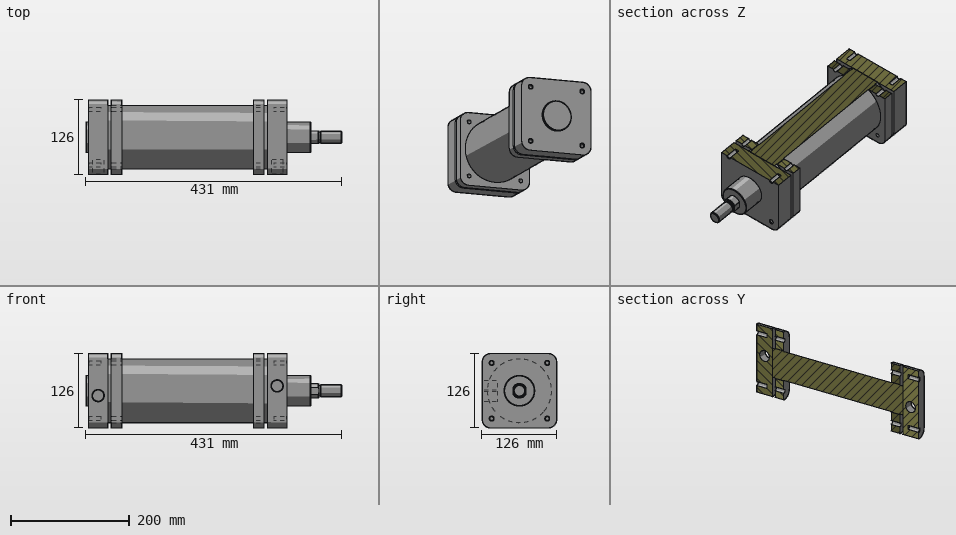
import cadquery as cq

TOTAL_LENGTH = 431.0

SQUARE_SIDE = 126.0
CORNER_RADIUS = 15.0
CAP_THICKNESS = 33.0
FLANGE_THICKNESS = 18.0
CAP_TO_FLANGE_GAP = 5.0

BOSS_DIAMETER = 51.7
REAR_BOSS_LENGTH = 4.0
FRONT_BOSS_LENGTH = 40.0
BOSS_CHAMFER = 1.0

BOLT_SPACING = 93.5
BOLT_HOLE_DIAMETER = 6.5
BOLT_HOLE_DEPTH = 21.5
BOLT_HOLE_CHAMFER = 1.0

PORT_DIAMETER = 19.0
PORT_DEPTH = 26.0
PORT_CHAMFER = 1.0
PORT_OFFSET_Z = 8.0

BARREL_DIAMETER = 107.8
BARREL_LENGTH = 268.0

SHANK_DIAMETER = 24.5
SHANK_LENGTH = 13.5
SHANK_CHAMFER = 1.0
ACROSS_FLATS = 21.5
NECK_DIAMETER = 18.0
NECK_LENGTH = 2.5
THREAD_DIAMETER = 20.3
THREAD_CHAMFER = 1.5

REAR_CAP_OUTER_X = REAR_BOSS_LENGTH
REAR_CAP_INNER_X = REAR_CAP_OUTER_X + CAP_THICKNESS
FRONT_CAP_INNER_X = REAR_CAP_INNER_X + BARREL_LENGTH
FRONT_CAP_OUTER_X = FRONT_CAP_INNER_X + CAP_THICKNESS
REAR_FLANGE_X = REAR_CAP_INNER_X + CAP_TO_FLANGE_GAP
FRONT_FLANGE_X = FRONT_CAP_INNER_X - CAP_TO_FLANGE_GAP - FLANGE_THICKNESS
ROD_START_X = FRONT_CAP_OUTER_X + FRONT_BOSS_LENGTH
ROD_LENGTH = TOTAL_LENGTH - ROD_START_X
THREAD_LENGTH = ROD_LENGTH - SHANK_LENGTH - NECK_LENGTH


def cylinder_x(start_x, length, diameter):
    """Cylinder on the X axis, running from start_x towards +X."""
    return cq.Workplane("YZ", origin=(start_x, 0, 0)).circle(diameter / 2).extrude(length)


def square_plate(start_x, thickness):
    """Square plate with rounded corners, square to the X axis."""
    plate = cq.Workplane("YZ", origin=(start_x, 0, 0)).rect(SQUARE_SIDE, SQUARE_SIDE).extrude(thickness)
    return plate.edges("|X").fillet(CORNER_RADIUS)


def chamfered_hole(mouth, direction, diameter, depth, chamfer):
    """Cutter for a blind hole from mouth along direction, its rim widened by a 45 degree chamfer."""
    radius = diameter / 2
    bore = cq.Solid.makeCylinder(radius, depth, mouth, direction)
    rim = cq.Solid.makeCone(radius + chamfer, radius, chamfer, mouth, direction)
    return bore.fuse(rim)


def make_cap(outer_x, inward, boss_length, port_z):
    """End cap with its boss, bolt holes and port; inward is +1 or -1, the X direction to the barrel."""
    plate = square_plate(min(outer_x, outer_x + inward * CAP_THICKNESS), CAP_THICKNESS)
    boss = cylinder_x(min(outer_x, outer_x - inward * boss_length), boss_length, BOSS_DIAMETER)
    boss = boss.faces("<X" if inward > 0 else ">X").chamfer(BOSS_CHAMFER)
    cap = plate.union(boss)

    for y in (-BOLT_SPACING / 2, BOLT_SPACING / 2):
        for z in (-BOLT_SPACING / 2, BOLT_SPACING / 2):
            mouth = cq.Vector(outer_x, y, z)
            direction = cq.Vector(inward, 0, 0)
            bolt_hole = chamfered_hole(
                mouth, direction, BOLT_HOLE_DIAMETER, BOLT_HOLE_DEPTH, BOLT_HOLE_CHAMFER
            )
            cap = cap.cut(bolt_hole)

    port_mouth = cq.Vector(outer_x + inward * CAP_THICKNESS / 2, -SQUARE_SIDE / 2, port_z)
    port = chamfered_hole(port_mouth, cq.Vector(0, 1, 0), PORT_DIAMETER, PORT_DEPTH, PORT_CHAMFER)
    return cap.cut(port)


def make_flange(start_x):
    """Square flange around the barrel, with four through bolt holes."""
    flange = square_plate(start_x, FLANGE_THICKNESS)
    bolt_holes = (
        cq.Workplane("YZ", origin=(start_x, 0, 0))
        .rect(BOLT_SPACING, BOLT_SPACING, forConstruction=True)
        .vertices()
        .circle(BOLT_HOLE_DIAMETER / 2)
        .extrude(FLANGE_THICKNESS)
    )
    return flange.cut(bolt_holes).cut(cylinder_x(start_x, FLANGE_THICKNESS, BARREL_DIAMETER))


def make_rod():
    """Piston rod outside the front boss; the wrench flats face -Y and +Y."""
    neck_x = ROD_START_X + SHANK_LENGTH
    thread_x = neck_x + NECK_LENGTH
    shank = cylinder_x(ROD_START_X, SHANK_LENGTH, SHANK_DIAMETER).faces(">X").chamfer(SHANK_CHAMFER)
    flats = (
        cq.Workplane("YZ", origin=(ROD_START_X, 0, 0))
        .rect(ACROSS_FLATS, SHANK_DIAMETER)
        .extrude(SHANK_LENGTH)
    )
    neck = cylinder_x(neck_x, NECK_LENGTH, NECK_DIAMETER)
    thread = cylinder_x(thread_x, THREAD_LENGTH, THREAD_DIAMETER).faces("<X or >X").chamfer(THREAD_CHAMFER)
    return shank.intersect(flats).union(neck).union(thread)


rear_cap = make_cap(REAR_CAP_OUTER_X, 1, REAR_BOSS_LENGTH, -PORT_OFFSET_Z)
front_cap = make_cap(FRONT_CAP_OUTER_X, -1, FRONT_BOSS_LENGTH, PORT_OFFSET_Z)
flanges = [make_flange(start_x) for start_x in (REAR_FLANGE_X, FRONT_FLANGE_X)]
barrel = cylinder_x(REAR_CAP_INNER_X, BARREL_LENGTH, BARREL_DIAMETER)
rod = make_rod()

result = cq.Compound.makeCompound([
    rear_cap.val(),
    front_cap.val(),
    *[flange.val() for flange in flanges],
    barrel.val(),
    rod.val(),
])